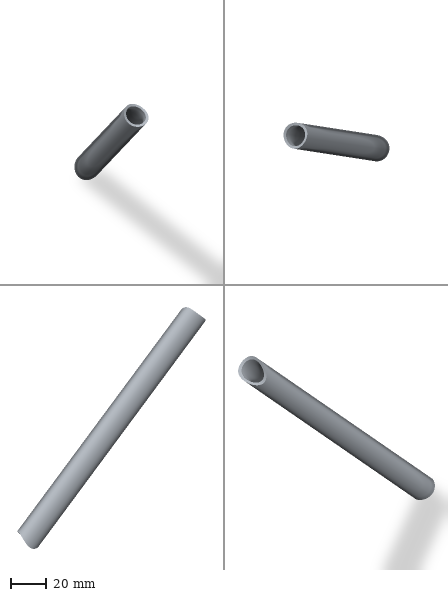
import cadquery as cq
outer_diameter = 15.0
inner_diameter = 12.0
run_x = 45.5
run_y = -73.9
run_z = 100.0

top_mate_radius = 12.6
bottom_mate_radius = 13.3
mate_length = 78.0
top_height = 71.0
bottom_height = -66.5
top_axis = cq.Vector(0, 1, 0)
bottom_axis = cq.Vector(1, 0.16, -0.2)
top_offset = cq.Vector(-0.1, 0, 0)
bottom_offset = cq.Vector(0, 2.6, 0)


def point_on_axis(height):
    """Point of the tube axis at the given Z."""
    return cq.Vector(run_x, run_y, run_z) * (height / run_z)


def cylinder(start, end, radius):
    """Solid cylinder between the centres of its two end faces."""
    axis = end - start
    return cq.Workplane(cq.Solid.makeCylinder(radius, axis.Length, start, axis))


def mating_pipe(height, offset, direction, radius):
    """Round pipe passing the tube axis near the given Z."""
    half = direction.normalized() * (mate_length / 2)
    centre = point_on_axis(height) + offset
    return cylinder(centre - half, centre + half, radius)


tube_start = point_on_axis(bottom_height)
tube_end = point_on_axis(top_height)
tube = cylinder(tube_start, tube_end, outer_diameter / 2)
tube = tube.cut(cylinder(tube_start, tube_end, inner_diameter / 2))

top_mate = mating_pipe(top_height, top_offset, top_axis, top_mate_radius)
bottom_mate = mating_pipe(bottom_height, bottom_offset, bottom_axis, bottom_mate_radius)
result = tube.cut(top_mate).cut(bottom_mate)